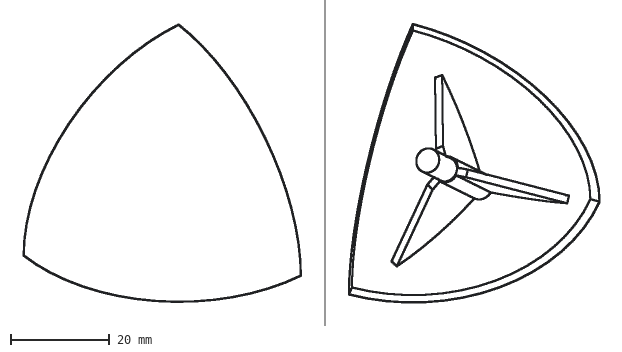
import cadquery as cq
import math

outer_radius = 40.0
wall = 2.0
inner_radius = outer_radius - wall
embed_radius = outer_radius - wall / 2

rod_diameter = 5.0
rod_start = 8.4
sleeve_diameter = 5.4

rib_count = 3
rib_thickness = 1.6
rib_start = 18.4
rib_shoulder_radius = 4.8
rib_edge_angle = 34.2

diagonal = cq.Plane(origin=(0, 0, 0), xDir=(2, 1, -1), normal=(1, -1, 1))


def octant_ball(radius):
    """Solid eighth of a ball in the +X, -Y, +Z octant."""
    ball = cq.Workplane("XY").sphere(radius)
    octant = cq.Workplane("XY").box(radius * 2, radius * 2, radius * 2, centered=False)
    return ball.intersect(octant.translate((0, -radius * 2, 0)))


def rod_length(diameter, start):
    """Round bar on the diagonal from start out into the wall."""
    return (
        cq.Workplane(diagonal)
        .workplane(offset=start)
        .circle(diameter / 2)
        .extrude(embed_radius - start)
    )


def rib(angle):
    """Flat rib turned by angle about the diagonal, trimmed by the ball."""
    reach = outer_radius
    rise = (reach - rib_shoulder_radius) * math.tan(math.radians(rib_edge_angle))
    outline = [
        (0, rib_start),
        (rib_shoulder_radius, rib_start),
        (reach, rib_start + rise),
        (reach, reach + rise),
        (0, reach + rise),
    ]
    turned = diagonal.rotated((0, 0, angle))
    rib_plane = cq.Plane(origin=(0, 0, 0), xDir=turned.xDir, normal=-turned.yDir)
    plate = cq.Workplane(rib_plane).polyline(outline).close()
    return plate.extrude(rib_thickness / 2, both=True)


shell = octant_ball(outer_radius).cut(cq.Workplane("XY").sphere(inner_radius))

ribs = rib(0)
for i in range(1, rib_count):
    ribs = ribs.union(rib(i * 360 / rib_count))
ribs = ribs.intersect(cq.Workplane("XY").sphere(embed_radius))

rod = rod_length(rod_diameter, rod_start).union(rod_length(sleeve_diameter, rib_start))

result = shell.union(ribs).union(rod)